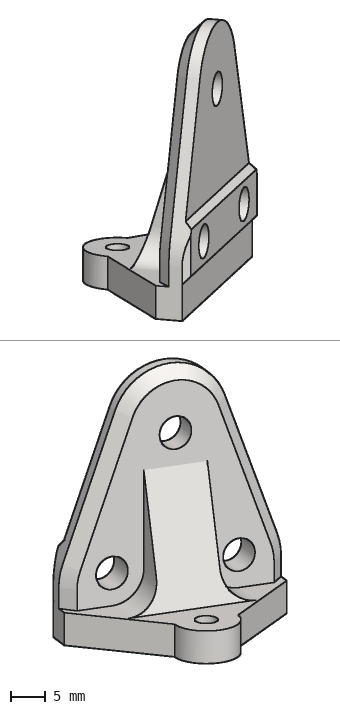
import cadquery as cq
import math

width = 35.0
height = 40.0
half_width = width / 2
base_height = 5.0

lug_radius = 5.0
lug_hole_diameter = 3.4

plate_front = 16.0
plate_back = 20.0
plate_thickness = plate_back - plate_front
plate_bevel = 2.0
crown_radius = 9.2
shoulder_radius = 10.0
shoulder_z = 8.2

mount_hole_diameter = 5.0
mount_hole_y = 10.0
lower_hole_z = 10.0
upper_hole_z = 30.0

rib_half_width = 5.0
rib_fillet = 5.0
rib_toe_x = 10.0
rib_top_z = 25.0

key_depth = 1.0
key_height = 9.0
key_back = plate_back + key_depth


def plate_outline(x, inset, bottom):
    """Closed outline of the plate profile at x, moved inward by inset on the sides and top."""
    crown_r = crown_radius - inset
    shoulder_r = shoulder_radius - inset
    crown_z = height - crown_radius
    shoulder_y = half_width - shoulder_radius

    rise = crown_z - shoulder_z
    distance = math.hypot(shoulder_y, rise)
    angle = math.atan2(shoulder_y, rise) + math.asin((shoulder_radius - crown_radius) / distance)

    def shoulder_point(a):
        return (shoulder_y + shoulder_r * math.cos(a), shoulder_z + shoulder_r * math.sin(a))

    def mirrored(point):
        return (-point[0], point[1])

    side = half_width - inset
    arc_start = (side, shoulder_z)
    arc_middle = shoulder_point(angle / 2)
    arc_end = shoulder_point(angle)
    crown_start = (crown_r * math.cos(angle), crown_z + crown_r * math.sin(angle))
    return (
        cq.Workplane("YZ", origin=(x, 0, 0))
        .moveTo(-side, bottom)
        .lineTo(side, bottom)
        .lineTo(*arc_start)
        .threePointArc(arc_middle, arc_end)
        .lineTo(*crown_start)
        .threePointArc((0, height - inset), mirrored(crown_start))
        .lineTo(*mirrored(arc_end))
        .threePointArc(mirrored(arc_middle), mirrored(arc_start))
        .close()
    )


def make_front_layer():
    """Front layer of the plate, widening from the inset face to the full outline."""
    front = plate_outline(plate_front, plate_bevel, base_height).val()
    rear = plate_outline(plate_front + plate_bevel, 0, base_height).val()
    return cq.Workplane(obj=cq.Solid.makeLoft([front, rear], True))


def make_base():
    lug = cq.Workplane("XY").center(lug_radius, 0).circle(lug_radius).extrude(base_height)
    body = (
        cq.Workplane("XY")
        .polyline([
            (lug_radius, -lug_radius),
            (plate_front, -half_width),
            (plate_back, -half_width),
            (plate_back, half_width),
            (plate_front, half_width),
            (lug_radius, lug_radius),
        ])
        .close()
        .extrude(base_height)
    )
    return body.union(lug)


def make_plate():
    rear_layer = plate_outline(plate_front + plate_bevel, 0, 0).extrude(plate_thickness - plate_bevel)
    return rear_layer.union(make_front_layer())


def make_rib():
    """Sloping rib whose sides flare into the base with concave fillets."""
    foot = rib_half_width + rib_fillet
    fillet_top = base_height + rib_fillet
    fillet_mid_y = foot - rib_fillet * math.sqrt(0.5)
    fillet_mid_z = fillet_top - rib_fillet * math.sqrt(0.5)
    flare = (
        cq.Workplane("YZ", origin=(rib_toe_x, 0, 0))
        .moveTo(-foot, base_height)
        .lineTo(foot, base_height)
        .threePointArc((fillet_mid_y, fillet_mid_z), (rib_half_width, fillet_top))
        .lineTo(rib_half_width, rib_top_z)
        .lineTo(-rib_half_width, rib_top_z)
        .lineTo(-rib_half_width, fillet_top)
        .threePointArc((-fillet_mid_y, fillet_mid_z), (-foot, base_height))
        .close()
        .extrude(plate_front - rib_toe_x)
    )
    wedge = (
        cq.Workplane("XZ")
        .polyline([(rib_toe_x, base_height), (plate_front, base_height), (plate_front, rib_top_z)])
        .close()
        .extrude(foot, both=True)
    )
    return flare.intersect(wedge)


def make_key():
    """Bevelled cross bar on the rear face, trimmed to the plate outline."""
    bar = (
        cq.Workplane("YZ", origin=(plate_back, 0, 0))
        .center(0, lower_hole_z)
        .rect(width, key_height)
        .extrude(key_depth, taper=45)
    )
    return bar.intersect(plate_outline(plate_back, 0, 0).extrude(key_depth))


def make_holes():
    centers = [(-mount_hole_y, lower_hole_z), (mount_hole_y, lower_hole_z), (0, upper_hole_z)]
    mount_holes = (
        cq.Workplane("YZ", origin=(plate_front, 0, 0))
        .pushPoints(centers)
        .circle(mount_hole_diameter / 2)
        .extrude(key_back - plate_front)
    )
    lug_hole = (
        cq.Workplane("XY").center(lug_radius, 0).circle(lug_hole_diameter / 2).extrude(base_height)
    )
    return mount_holes, lug_hole


mount_holes, lug_hole = make_holes()
result = make_base().union(make_plate()).union(make_key()).union(make_rib())
result = result.cut(mount_holes).cut(lug_hole)